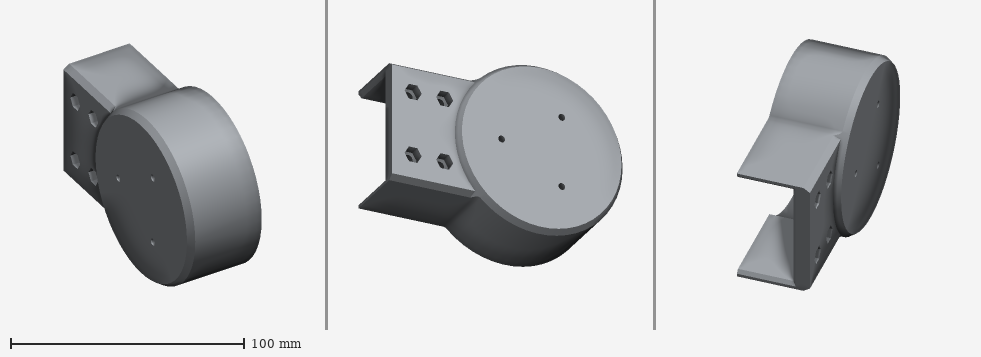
import cadquery as cq
import math

depth = 36.3
disc_radius = 40.0
arm_reach = 109.8 - disc_radius
arm_half_height = 28.0
blend_radius = 3.0

bevel_depth = 3.0
bevel_width = 2.0

cavity_diameter = 75.0
wall = 3.0
floor_y = 11.0
mouth_chamfer = 1.5
boss_diameter = 10.0
boss_height = 2.0

disc_hole_diameter = 3.2
disc_hole_circle_radius = 19.1
disc_hole_count = 3
arm_hole_diameter = 4.3
arm_hole_pitch_x = 15.0
arm_hole_pitch_z = 30.0
arm_hole_end_distance = 10.0
nut_flats = 7.0
nut_pocket_depth = 5.0

inner_half_height = arm_half_height - wall
cut_margin = 1.1


def cylinder_y(radius, y_start, y_end, x=0.0, z=0.0):
    """Cylinder along Y between two Y positions."""
    return cq.Workplane(cq.Solid.makeCylinder(
        radius, y_end - y_start, cq.Vector(x, y_start, z), cq.Vector(0, 1, 0)))


def make_blend(side):
    """Concave web between the arm side and the disc; side is +1 or -1."""
    center_z = arm_half_height + blend_radius
    center_distance = disc_radius + blend_radius
    center_x = -math.sqrt(center_distance**2 - center_z**2)
    disc_scale = disc_radius / center_distance
    disc_point = (center_x * disc_scale, center_z * disc_scale)
    toward_disc = math.atan2(-center_z, -center_x)
    middle_angle = (toward_disc - math.pi / 2) / 2
    middle = (
        center_x + blend_radius * math.cos(middle_angle),
        center_z + blend_radius * math.sin(middle_angle),
    )
    web = (
        cq.Workplane("XZ")
        .moveTo(center_x, arm_half_height)
        .threePointArc(middle, disc_point)
        .lineTo(0, 0)
        .lineTo(-arm_reach / 2, 0)
        .lineTo(-arm_reach / 2, arm_half_height)
        .close()
        .extrude(-depth)
    )
    return web if side > 0 else web.mirror("XY")


def make_bevel_envelope():
    """Cone of the disc bevel, carried on past the rim to trim the blend webs."""
    cone_depth = 2 * bevel_depth
    outer_radius = disc_radius + bevel_width
    return (
        cq.Workplane("XY")
        .polyline([
            (0, 0),
            (disc_radius - bevel_width, 0),
            (outer_radius, cone_depth),
            (outer_radius, depth),
            (0, depth),
        ])
        .close()
        .revolve(360, (0, 0, 0), (0, 1, 0))
    )


def make_arm():
    """Arm block with its two long front edges bevelled."""
    front_half_height = arm_half_height - bevel_width
    bevel_end_y = 2 * bevel_depth
    return (
        cq.Workplane("YZ")
        .polyline([
            (bevel_depth, -front_half_height),
            (bevel_depth, front_half_height),
            (bevel_end_y, arm_half_height),
            (depth, arm_half_height),
            (depth, -arm_half_height),
            (bevel_end_y, -arm_half_height),
        ])
        .close()
        .extrude(-arm_reach)
    )


def make_channel():
    """Space inside the arm, flared by a chamfer at the open end."""
    channel = cq.Workplane("XY").box(
        arm_reach, depth, 2 * inner_half_height, centered=(False, False, True)
    ).translate((-arm_reach, floor_y, 0))
    flare = (
        cq.Workplane("YZ", origin=(-arm_reach, floor_y - mouth_chamfer + depth / 2, 0))
        .rect(depth, 2 * (inner_half_height + mouth_chamfer))
        .workplane(offset=mouth_chamfer)
        .center(mouth_chamfer, 0)
        .rect(depth, 2 * inner_half_height)
        .loft(ruled=True)
    )
    return channel.union(flare)


def make_nut_hole(x, z):
    """Screw hole through the arm plate with a hexagonal nut pocket in front."""
    nut_corners = nut_flats / math.cos(math.pi / 6)
    pocket = (
        cq.Workplane("XZ", origin=(x, bevel_depth, z))
        .polygon(6, nut_corners)
        .extrude(-nut_pocket_depth)
    )
    return pocket.union(cylinder_y(arm_hole_diameter / 2, 0, floor_y + cut_margin, x, z))


disc_and_blends = cylinder_y(disc_radius, 0, depth)
for side in (1, -1):
    disc_and_blends = disc_and_blends.union(make_blend(side))
body = disc_and_blends.intersect(make_bevel_envelope()).union(make_arm())

body = body.cut(cylinder_y(cavity_diameter / 2, floor_y, depth + cut_margin))
body = body.cut(make_channel())
body = body.union(cylinder_y(boss_diameter / 2, floor_y - cut_margin, floor_y + boss_height))

for index in range(disc_hole_count):
    angle = math.pi + index * 2 * math.pi / disc_hole_count
    hole_x = disc_hole_circle_radius * math.cos(angle)
    hole_z = disc_hole_circle_radius * math.sin(angle)
    body = body.cut(cylinder_y(
        disc_hole_diameter / 2, -cut_margin, floor_y + cut_margin, hole_x, hole_z))

for column in range(2):
    for side in (1, -1):
        hole_x = -arm_reach + arm_hole_end_distance + column * arm_hole_pitch_x
        body = body.cut(make_nut_hole(hole_x, side * arm_hole_pitch_z / 2))

result = body